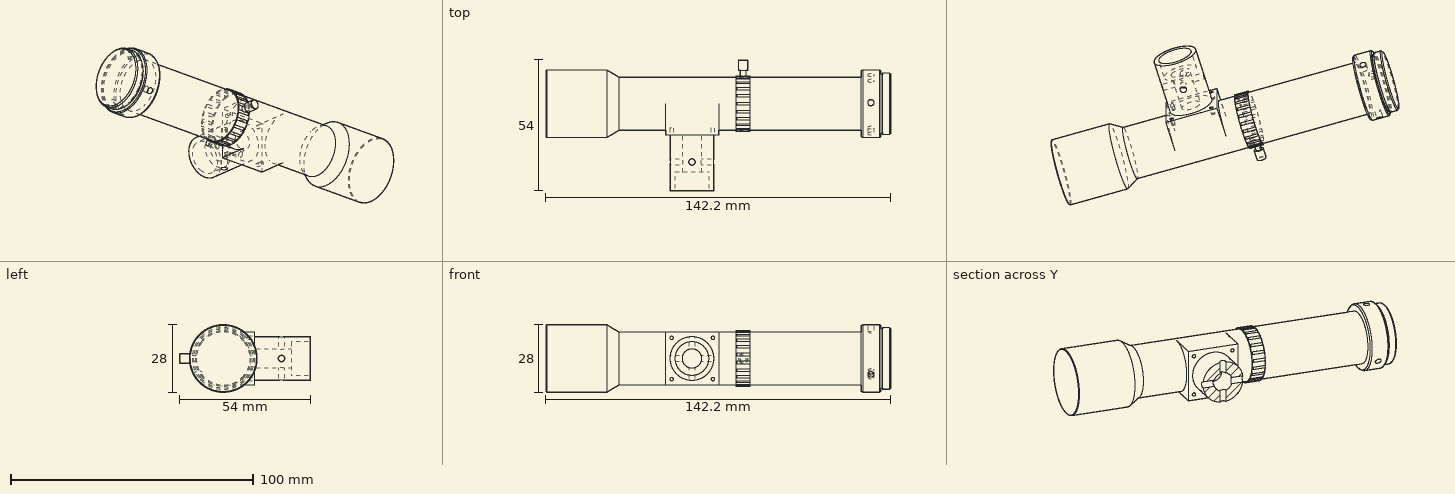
import cadquery as cq
import math

drill_tip_angle = 118.0

total_length = 142.2
tube_diameter = 22.0
head_diameter = 28.0
head_length = 25.0
cone_end = 30.0
head_edge_break = 0.3
tube_radius = tube_diameter / 2
head_radius = head_diameter / 2

flange_start = 130.0
flange_end = 138.1
flange_radius = head_radius
flange_left_chamfer = 0.7
flange_right_chamfer = 0.4
flange_chamfer_height = 0.4
neck_end = 138.8
neck_radius = 12.2
cap_radius = 12.8
cap_chamfer = 0.5
flange_hole_count = 3
flange_hole_diameter = 2.5
flange_hole_depth = 2.8
flange_hole_turn = -2.0

ring_start = 78.4
ring_end = 84.2
ring_radius = 11.5
groove_count = 22
groove_radius = 0.7
groove_depth = 0.3
groove_stop = 0.4
screw_tip = 18.0
screw_head_length = 4.3
screw_head_diameter = 4.0
screw_shank_diameter = 2.4
screw_edge_break = 0.1

port_x = 60.2
block_x = 60.3
block_width = tube_diameter
block_face = 13.0
port_tip = 36.0
port_diameter = 18.0
bore_diameter = 14.0
bore_depth = 7.8
inner_bore_diameter = 8.0
cross_hole_distance = 24.0
cross_hole_diameter = 2.5
block_hole_spacing = 17.0
block_hole_diameter = 1.4
block_hole_depth = 2.8


def y_cylinder(x, z, y_from, y_to, diameter):
    """Cylinder along Y between two Y positions."""
    start = cq.Vector(x, y_from, z)
    direction = cq.Vector(0, y_to - y_from, 0)
    return cq.Workplane(cq.Solid.makeCylinder(diameter / 2, abs(y_to - y_from), start, direction))


def drilled_hole(diameter, depth):
    """Blind hole with a conical bottom, opening at Z = 0 and reaching down."""
    radius = diameter / 2
    tip_depth = depth + radius / math.tan(math.radians(drill_tip_angle / 2))
    profile = [(0, depth), (radius, depth), (radius, -depth), (0, -tip_depth)]
    return cq.Workplane("XZ").polyline(profile).close().revolve(360, (0, 0, 0), (0, 1, 0))


def make_barrel():
    """Head, cone, tube, flange, neck and cap as one turned profile."""
    flange_edge_radius = flange_radius - flange_chamfer_height
    profile = [
        (0, 0),
        (0, head_radius - head_edge_break),
        (head_edge_break, head_radius),
        (head_length, head_radius),
        (cone_end, tube_radius),
        (flange_start, tube_radius),
        (flange_start, flange_edge_radius),
        (flange_start + flange_left_chamfer, flange_radius),
        (flange_end - flange_right_chamfer, flange_radius),
        (flange_end, flange_edge_radius),
        (flange_end, neck_radius),
        (neck_end, neck_radius),
        (neck_end, cap_radius),
        (total_length - cap_chamfer, cap_radius),
        (total_length, cap_radius - cap_chamfer),
        (total_length, 0),
    ]
    return cq.Workplane("XY").polyline(profile).close().revolve(360, (0, 0, 0), (1, 0, 0))


def make_ring():
    """Ring around the tube with evenly spaced round-bottomed grooves that stop just short of its left end."""
    ring_length = ring_end - ring_start
    ring = cq.Workplane("YZ").workplane(offset=ring_start).circle(ring_radius).extrude(ring_length)
    groove_center = ring_radius - groove_depth + groove_radius
    groove = cq.Workplane("YZ").workplane(offset=ring_start + groove_stop).center(0, groove_center)
    groove = groove.circle(groove_radius).extrude(ring_length)
    for index in range(groove_count):
        angle = index * 360 / groove_count
        ring = ring.cut(groove.rotate((0, 0, 0), (1, 0, 0), angle))
    return ring


def make_thumbscrew():
    """Radial screw standing out of the ring toward +Y."""
    ring_middle = (ring_start + ring_end) / 2
    head_base = screw_tip - screw_head_length
    head = y_cylinder(ring_middle, 0, head_base, screw_tip, screw_head_diameter)
    head = head.faces(">Y").chamfer(screw_edge_break)
    shank = y_cylinder(ring_middle, 0, 0, head_base, screw_shank_diameter)
    return head.union(shank)


def make_side_port():
    """Square block on the tube carrying the round port."""
    block = cq.Workplane("XY").box(block_width, block_face, block_width)
    block = block.translate((block_x, -block_face / 2, 0))
    return block.union(y_cylinder(port_x, 0, -block_face, -port_tip, port_diameter))


def make_port_cuts():
    """Stepped bore, crossed radial holes and the four small holes in the block face."""
    bore_end = port_tip - bore_depth
    cuts = y_cylinder(port_x, 0, -port_tip, -bore_end, bore_diameter)
    cuts = cuts.union(y_cylinder(port_x, 0, -bore_end, -block_face, inner_bore_diameter))
    cross_center = (port_x, -cross_hole_distance, 0)
    for plane in ("XY", "YZ"):
        hole = cq.Workplane(plane).circle(cross_hole_diameter / 2).extrude(port_diameter / 2, both=True)
        cuts = cuts.union(hole.translate(cross_center))
    small_hole = drilled_hole(block_hole_diameter, block_hole_depth).rotate((0, 0, 0), (1, 0, 0), 90)
    half_spacing = block_hole_spacing / 2
    for x_side in (-1, 1):
        for z_side in (-1, 1):
            x = block_x + x_side * half_spacing
            z = z_side * half_spacing
            cuts = cuts.union(small_hole.translate((x, -block_face, z)))
    return cuts


def make_flange_holes():
    """Blind radial holes around the flange, the first one close to the top."""
    hole_x = (flange_start + flange_end) / 2
    hole = drilled_hole(flange_hole_diameter, flange_hole_depth).translate((hole_x, 0, flange_radius))
    holes = cq.Workplane("XY")
    for index in range(flange_hole_count):
        angle = flange_hole_turn + index * 360 / flange_hole_count
        holes = holes.add(hole.rotate((0, 0, 0), (1, 0, 0), angle))
    return holes.combine()


result = make_barrel().union(make_ring()).union(make_thumbscrew()).union(make_side_port())
result = result.cut(make_port_cuts()).cut(make_flange_holes())